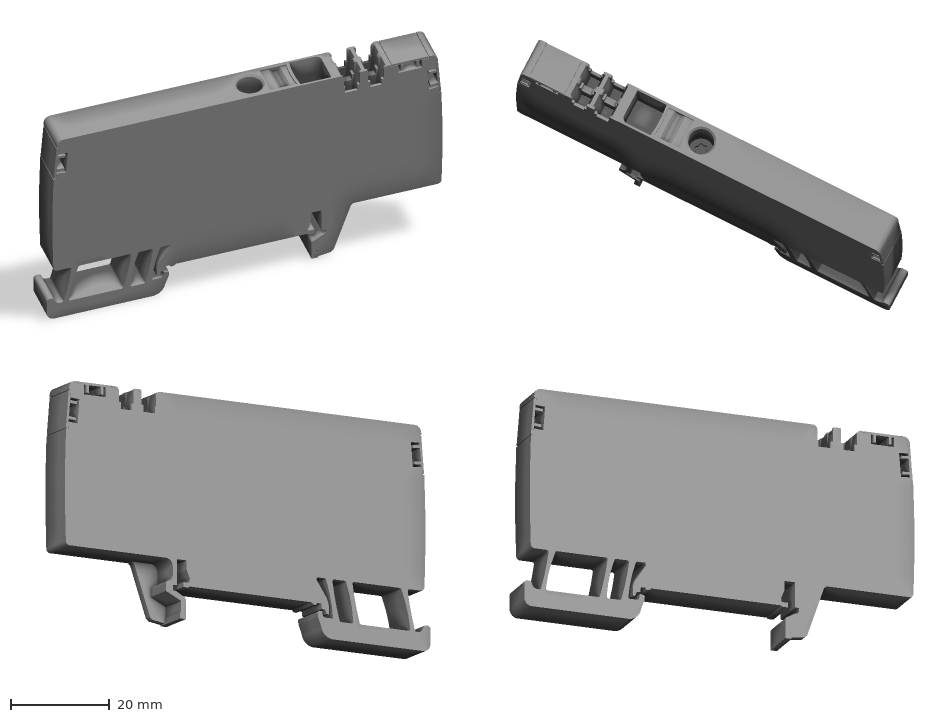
import cadquery as cq
import math


THICKNESS = 8.1
SIDE_FACE = -THICKNESS / 2

BODY_BACK = 85.1
BODY_FRONT = 1.2
BODY_MID = (BODY_BACK + BODY_FRONT) / 2
BODY_TOP = 46.9
BODY_BOTTOM = 12.5
TOP_INSET = 1.1
CROWN_INSET = 0.25
CROWN_TOP = 36.6
TOP_CORNER_RADIUS = 1.45
BOTTOM_CORNER_RADIUS = 0.85
OVERLAP = 0.2

MARKER_LENGTH = 8.25
MARKER_PLATE = 0.5
MARKER_SIDE_INSET = 0.1
MARKER_TOP_Y = 78.1
MARKER_END_Z = 40.85
MARKER_GROOVE = 0.21
WINDOW_LENGTH = 5.1
WINDOW_DEPTH = 2.55
LEG_SPACING = 3.4
LEG_WIDTH = 0.6
LEG_DEPTH = 2.1

NOTCH_FLOOR = 42.3
NOTCH_STEP = 43.7
NOTCH_1 = (72.5, 69.1)
NOTCH_2 = (67.3, 63.9)
NOTCH_1_STEPS = (0.5, 0.5)
NOTCH_2_STEPS = (0.5, 0.25)
NOTCH_RIM_RADIUS = 0.9
FIN_RADIUS = 0.3
FUNNEL_WIDTH = 2.8
FUNNEL_SPACING = 4.1
FUNNEL_TOP_MARGIN = 0.5
FUNNEL_BOTTOM_MARGIN = 0.7
FUNNEL_FLOOR = 39.1

WELL_WIDTH = 7.15
WELL_BACK = 61.35
WELL_FRONT = 54.7
WELL_BOW = 0.25
WELL_CORNER_RADIUS = 1.3
WELL_DEPTH = 8.5

SLIDE_WIDTH = 6.5
SLIDE_BACK = 54.0
SLIDE_FRONT = 48.3
SLIDE_DROP = 0.3
SLIDE_GROOVE = 1.2

SCREW_Y = 45.0
SCREW_RIM_RADIUS = 3.1
SCREW_WELL_RADIUS = 2.6
SCREW_WELL_DEPTH = 8.5
SCREW_HEAD_RADIUS = 1.8
SCREW_HEAD_HEIGHT = 1.3
STAR_OUTER = 1.45
STAR_INNER = 1.0
STAR_POINTS = 6
STAR_DEPTH = 0.85

SEAT_BOTTOM = 7.15
FOOT_FLOOR = 3.8
FOOT_CORNER_RADIUS = 1.7
RIB_TOPS = (24.4, 19.7, 6.9)
RIB_WIDTH = 1.5
RIB_FOOT_WIDTHS = (1.5, 1.5, 1.1)
RIB_LEAN = 1.8
RIB_BACK_BULGE = 0.3
RIB_FRONT_BULGE = 0.2
RIB_FILLET = 0.4

WEB_THICKNESS = 1.7


def slab(outline):
    """Extrude a closed Y-Z outline through the full thickness."""
    return outline.close().extrude(THICKNESS)


def sketch():
    return cq.Workplane("YZ", origin=(SIDE_FACE, 0, 0))


def block(x_size, y_low, y_high, z_low, z_high):
    """Box centred on X."""
    size = (x_size, y_high - y_low, z_high - z_low)
    return cq.Workplane("XY").box(*size, centered=(True, False, False)).translate((0, y_low, z_low))


def edges_in(solid, y_low, y_high, z_low, z_high):
    """Edges along X whose middle lies inside the given Y-Z window."""
    window = cq.selectors.BoxSelector((-THICKNESS, y_low, z_low), (THICKNESS, y_high, z_high))
    return solid.edges("|X").edges(window)


def make_housing():
    top_half = (BODY_BACK - BODY_FRONT) / 2 - TOP_INSET
    crown_half = (BODY_BACK - BODY_FRONT) / 2 - CROWN_INSET
    crown_mid = (CROWN_TOP + BODY_BOTTOM) / 2
    housing = slab(
        sketch()
        .moveTo(BODY_MID - top_half, BODY_TOP)
        .lineTo(BODY_MID + top_half, BODY_TOP)
        .lineTo(BODY_MID + crown_half, CROWN_TOP)
        .threePointArc((BODY_BACK, crown_mid), (BODY_MID + crown_half, BODY_BOTTOM))
        .lineTo(BODY_MID - crown_half, BODY_BOTTOM)
        .threePointArc((BODY_FRONT, crown_mid), (BODY_MID - crown_half, CROWN_TOP))
    )
    housing = housing.edges("|X and >Z").fillet(TOP_CORNER_RADIUS)
    return housing.edges("|X and <Z").fillet(BOTTOM_CORNER_RADIUS)


def marker_cut():
    """Material removed for a marker: local Y along the plate, outer face at Z = 0."""
    half = MARKER_LENGTH / 2
    leg_half = LEG_WIDTH / 2
    cut = block(THICKNESS, -WINDOW_LENGTH / 2, WINDOW_LENGTH / 2, -WINDOW_DEPTH, -MARKER_PLATE)
    for centre in (-LEG_SPACING / 2, LEG_SPACING / 2):
        cut = cut.cut(block(THICKNESS, centre - leg_half, centre + leg_half, -LEG_DEPTH, 0))
    for end in (-half, half):
        low, high = sorted((end, end - math.copysign(MARKER_GROOVE, end)))
        cut = cut.union(block(THICKNESS, low, high, -MARKER_GROOVE, OVERLAP))
    recess = block(THICKNESS, -half, half, -MARKER_PLATE, OVERLAP)
    plate = block(THICKNESS - 2 * MARKER_SIDE_INSET, -half, half, -MARKER_PLATE, OVERLAP)
    return cut.union(recess.cut(plate))


def cut_markers(solid):
    lean = (TOP_INSET - CROWN_INSET) / (BODY_TOP - CROWN_TOP)
    lean_angle = math.degrees(math.atan(lean))
    end_y = BODY_BACK - CROWN_INSET - lean * (MARKER_END_Z - CROWN_TOP)
    back = marker_cut().rotate((0, 0, 0), (1, 0, 0), lean_angle - 90)
    back = back.translate((0, end_y, MARKER_END_Z))
    front = back.mirror("XZ", (0, BODY_MID, 0))
    top = marker_cut().translate((0, MARKER_TOP_Y, BODY_TOP))
    return solid.cut(back).cut(front).cut(top)


def cut_notches(solid):
    for (back, front), (back_step, front_step) in ((NOTCH_1, NOTCH_1_STEPS), (NOTCH_2, NOTCH_2_STEPS)):
        solid = solid.cut(block(THICKNESS, front, back, NOTCH_STEP, BODY_TOP))
        solid = solid.cut(block(THICKNESS, front + front_step, back - back_step, NOTCH_FLOOR, NOTCH_STEP))
    z_window = (BODY_TOP - OVERLAP, BODY_TOP + OVERLAP)
    for rim in (NOTCH_1[0], NOTCH_2[1]):
        solid = edges_in(solid, rim - OVERLAP, rim + OVERLAP, *z_window).fillet(NOTCH_RIM_RADIUS)
    fin = (NOTCH_2[0] - OVERLAP, NOTCH_1[1] + OVERLAP)
    return edges_in(solid, *fin, *z_window).fillet(FIN_RADIUS)


def cut_funnels(solid):
    for back, front in (NOTCH_1, NOTCH_2):
        profile = [
            (back + FUNNEL_TOP_MARGIN, BODY_TOP),
            (back - FUNNEL_BOTTOM_MARGIN, FUNNEL_FLOOR),
            (front + FUNNEL_BOTTOM_MARGIN, FUNNEL_FLOOR),
            (front - FUNNEL_TOP_MARGIN, BODY_TOP),
        ]
        funnel = cq.Workplane("YZ").polyline(profile).close().extrude(FUNNEL_WIDTH / 2, both=True)
        for centre in (-FUNNEL_SPACING / 2, FUNNEL_SPACING / 2):
            solid = solid.cut(funnel.translate((centre, 0, 0)))
    return solid


def cut_well(solid):
    half = WELL_WIDTH / 2
    well = (
        cq.Workplane("XY", origin=(0, 0, BODY_TOP))
        .moveTo(half, WELL_FRONT)
        .lineTo(half, WELL_BACK)
        .lineTo(-half, WELL_BACK)
        .lineTo(-half, WELL_FRONT)
        .threePointArc((0, WELL_FRONT - WELL_BOW), (half, WELL_FRONT))
        .close()
        .extrude(-WELL_DEPTH)
    )
    well = well.edges("|Z and <X and >Y").fillet(WELL_CORNER_RADIUS)
    return solid.cut(well)


def cut_slide(solid):
    deck = BODY_TOP - SLIDE_DROP
    groove = BODY_TOP - SLIDE_GROOVE
    half = SLIDE_WIDTH / 2
    profile = [
        (SLIDE_BACK, BODY_TOP),
        (SLIDE_BACK, deck),
        (52.75, deck),
        (52.0, groove),
        (51.2, groove),
        (50.2, deck),
        (SLIDE_FRONT, deck),
        (SLIDE_FRONT, BODY_TOP),
    ]
    recess = cq.Workplane("YZ").polyline(profile).close().extrude(half, both=True)
    bowed_plan = (
        cq.Workplane("XY", origin=(0, 0, groove))
        .moveTo(-half, SLIDE_FRONT)
        .lineTo(half, SLIDE_FRONT)
        .lineTo(half, SLIDE_BACK)
        .threePointArc((0, SLIDE_BACK - WELL_BOW), (-half, SLIDE_BACK))
        .close()
        .extrude(SLIDE_GROOVE)
    )
    return solid.cut(recess.intersect(bowed_plan))


def cut_screw_well(solid):
    floor = BODY_TOP - SCREW_WELL_DEPTH
    head_top = floor + SCREW_HEAD_HEIGHT
    rim = SCREW_RIM_RADIUS - SCREW_WELL_RADIUS
    floor_plane = cq.Workplane("XY", origin=(0, SCREW_Y, floor))
    bore = floor_plane.circle(SCREW_WELL_RADIUS).extrude(SCREW_WELL_DEPTH)
    mouth = (
        cq.Workplane("XY", origin=(0, SCREW_Y, BODY_TOP))
        .circle(SCREW_RIM_RADIUS)
        .workplane(offset=-rim)
        .circle(SCREW_WELL_RADIUS)
        .loft()
    )
    head = floor_plane.circle(SCREW_HEAD_RADIUS).extrude(SCREW_HEAD_HEIGHT)
    star = []
    for corner in range(2 * STAR_POINTS):
        radius = STAR_INNER if corner % 2 else STAR_OUTER
        angle = math.pi / 2 + corner * math.pi / STAR_POINTS
        star.append((radius * math.cos(angle), radius * math.sin(angle)))
    drive = cq.Workplane("XY", origin=(0, SCREW_Y, head_top)).polyline(star).close().extrude(-STAR_DEPTH)
    return solid.cut(bore).cut(mouth).union(head).cut(drive)


def make_seat():
    return slab(
        sketch()
        .moveTo(56.75, BODY_BOTTOM + OVERLAP)
        .lineTo(56.75, 10.55)
        .lineTo(56.0, 8.7)
        .lineTo(56.2, 7.9)
        .lineTo(57.5, 7.9)
        .lineTo(57.5, 6.9)
        .lineTo(56.3, 6.9)
        .lineTo(56.1, SEAT_BOTTOM)
        .lineTo(27.7, SEAT_BOTTOM)
        .lineTo(27.2, 6.7)
        .lineTo(26.7, 6.7)
        .lineTo(26.4, SEAT_BOTTOM)
        .lineTo(25.4, SEAT_BOTTOM)
        .lineTo(25.3, 6.0)
        .lineTo(24.5, 5.95)
        .lineTo(24.2, 5.1)
        .lineTo(23.65, 5.1)
        .lineTo(23.65, 6.4)
        .threePointArc((23.8, 7.6), (24.4, 8.85))
        .lineTo(26.55, 12.0)
        .lineTo(26.4, BODY_BOTTOM + OVERLAP)
    )


def make_foot():
    corner = FOOT_CORNER_RADIUS
    bend = corner * (1 - math.sqrt(0.5))
    return slab(
        sketch()
        .moveTo(22.1, 4.3)
        .lineTo(24.6, 4.3)
        .threePointArc((24.9, 4.5), (25.1, 4.85))
        .lineTo(25.2, 5.6)
        .lineTo(25.8, 5.6)
        .lineTo(26.3, 5.4)
        .lineTo(26.2, 4.3)
        .lineTo(25.4, 2.4)
        .threePointArc((24.5, 0.7), (23.0, 0))
        .lineTo(corner, 0)
        .threePointArc((bend, bend), (0, corner))
        .lineTo(0, 4.7)
        .threePointArc((0.2, 5.2), (0.6, 5.45))
        .lineTo(1.0, 5.45)
        .threePointArc((1.45, 5.3), (1.7, 4.85))
        .threePointArc((2.5, FOOT_FLOOR + 0.1), (2.9, FOOT_FLOOR))
        .lineTo(22.1, FOOT_FLOOR)
    )


def make_rib(back_y, foot_width):
    """Curved rib hanging from the housing and leaning toward -Y."""
    front_y = back_y - RIB_WIDTH
    front_foot = front_y - RIB_LEAN
    back_foot = front_foot + foot_width
    back_mid = (back_y + back_foot) / 2 - RIB_BACK_BULGE
    front_mid = (front_y + front_foot) / 2 + RIB_FRONT_BULGE
    middle = (BODY_BOTTOM + FOOT_FLOOR) / 2
    return slab(
        sketch()
        .moveTo(back_y, BODY_BOTTOM + OVERLAP)
        .lineTo(back_y, BODY_BOTTOM)
        .threePointArc((back_mid, middle), (back_foot, FOOT_FLOOR))
        .lineTo(back_foot, FOOT_FLOOR - OVERLAP)
        .lineTo(front_foot, FOOT_FLOOR - OVERLAP)
        .lineTo(front_foot, FOOT_FLOOR)
        .threePointArc((front_mid, middle), (front_y, BODY_BOTTOM))
        .lineTo(front_y, BODY_BOTTOM + OVERLAP)
    )


def fillet_rib_roots(solid):
    reach = OVERLAP / 2
    for back_y in RIB_TOPS:
        tops = (back_y - RIB_WIDTH - reach, back_y + reach)
        solid = edges_in(solid, *tops, BODY_BOTTOM - reach, BODY_BOTTOM + reach).fillet(RIB_FILLET)
        feet = (tops[0] - RIB_LEAN, tops[1] - RIB_LEAN)
        solid = edges_in(solid, *feet, FOOT_FLOOR - reach, FOOT_FLOOR + reach).fillet(RIB_FILLET)
    return solid


def make_latch_strip():
    """Springy strip with a hook for the other rail edge."""
    return slab(
        sketch()
        .moveTo(59.05, BODY_BOTTOM + OVERLAP)
        .lineTo(59.05, 7.15)
        .lineTo(59.9, 7.1)
        .lineTo(60.0, 5.9)
        .lineTo(59.2, 5.9)
        .lineTo(57.5, 4.9)
        .threePointArc((57.1, 4.7), (56.9, 4.25))
        .lineTo(56.9, 0.25)
        .lineTo(58.3, 0.25)
        .lineTo(58.3, 1.5)
        .lineTo(58.0, 1.5)
        .lineTo(58.0, 3.9)
        .lineTo(61.6, 5.6)
        .lineTo(61.6, 7.15)
        .threePointArc((61.35, 7.7), (60.9, 7.8))
        .threePointArc((60.25, 8.3), (60.0, 9.0))
        .lineTo(60.0, 10.8)
        .threePointArc((60.4, 12.0), (61.4, BODY_BOTTOM))
        .lineTo(61.4, BODY_BOTTOM + OVERLAP)
    )


def make_latch_web():
    """Thin triangular web stiffening the strip along its +X side."""
    outline = [
        (65.9, BODY_BOTTOM + OVERLAP),
        (65.9, BODY_BOTTOM),
        (65.35, 12.0),
        (61.7, 1.45),
        (61.1, 0.9),
        (58.2, 0.5),
        (57.9, 4.25),
        (60.0, 6.4),
        (59.6, BODY_BOTTOM + OVERLAP),
    ]
    web = cq.Workplane("YZ", origin=(THICKNESS / 2, 0, 0))
    return web.polyline(outline).close().extrude(-WEB_THICKNESS)


result = make_housing()
result = cut_markers(result)
result = cut_notches(result)
result = cut_funnels(result)
result = cut_well(result)
result = cut_slide(result)
result = cut_screw_well(result)
result = result.union(make_seat()).union(make_foot())
for rib_top, rib_foot_width in zip(RIB_TOPS, RIB_FOOT_WIDTHS):
    result = result.union(make_rib(rib_top, rib_foot_width))
result = fillet_rib_roots(result)
result = result.union(make_latch_strip()).union(make_latch_web())